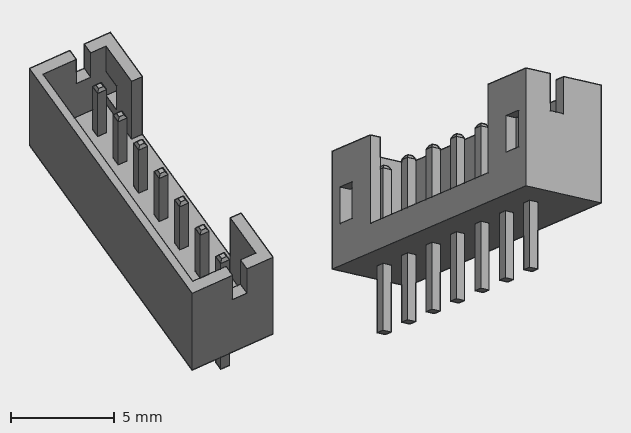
import cadquery as cq

LENGTH = 15.9
DEPTH = 4.5
HEIGHT = 6.0
END_WALL = 0.64
BACK_WALL = 0.6
FRONT_WALL = 0.4
FLOOR = 1.5

OPENING_WIDTH = 9.64

WINDOW_WIDTH = 1.0
WINDOW_BOTTOM = 2.15
WINDOW_TOP = 4.0

NOTCH_WIDTH = 0.8
NOTCH_DEPTH = 1.9

PIN_COUNT = 7
PIN_PITCH = 2.0
PIN_SIZE = 0.5
PIN_BELOW = 3.4
PIN_TOP_GAP = 0.95
TIP_SIZE = 0.27
TIP_HEIGHT = 0.19

BACK_Y = 1.7
FRONT_Y = BACK_Y - DEPTH
NOTCH_BACK_Y = PIN_SIZE / 2


def box(x_min, x_max, y_min, y_max, z_min, z_max):
    """Box between opposite corner coordinates."""
    size = (x_max - x_min, y_max - y_min, z_max - z_min)
    return cq.Workplane("XY").box(*size, centered=False).translate((x_min, y_min, z_min))


def make_housing():
    """Open-topped shell with a back opening, end notches and back windows."""
    half = LENGTH / 2
    inner = half - END_WALL
    inner_back = BACK_Y - BACK_WALL

    housing = box(-half, half, FRONT_Y, BACK_Y, 0, HEIGHT)
    housing = housing.cut(box(-inner, inner, FRONT_Y + FRONT_WALL, inner_back, FLOOR, HEIGHT))

    half_opening = OPENING_WIDTH / 2
    housing = housing.cut(box(-half_opening, half_opening, inner_back, BACK_Y, FLOOR, HEIGHT))

    notch_front_y = NOTCH_BACK_Y - NOTCH_WIDTH
    housing = housing.cut(box(-half, half, notch_front_y, NOTCH_BACK_Y, HEIGHT - NOTCH_DEPTH, HEIGHT))

    window = box(inner - WINDOW_WIDTH, inner, inner_back, BACK_Y, WINDOW_BOTTOM, WINDOW_TOP)
    return housing.cut(window).cut(window.mirror("YZ"))


def make_pin(x):
    """Square pin with a tapered upper tip."""
    shoulder_z = HEIGHT - PIN_TOP_GAP - TIP_HEIGHT
    half = PIN_SIZE / 2
    shaft = box(x - half, x + half, -half, half, -PIN_BELOW, shoulder_z)
    tip = (
        cq.Workplane("XY", origin=(x, 0, shoulder_z))
        .rect(PIN_SIZE, PIN_SIZE)
        .workplane(offset=TIP_HEIGHT)
        .rect(TIP_SIZE, TIP_SIZE)
        .loft(ruled=True)
    )
    return shaft.union(tip)


result = make_housing()
for index in range(PIN_COUNT):
    pin_x = (index - (PIN_COUNT - 1) / 2) * PIN_PITCH
    result = result.union(make_pin(pin_x))